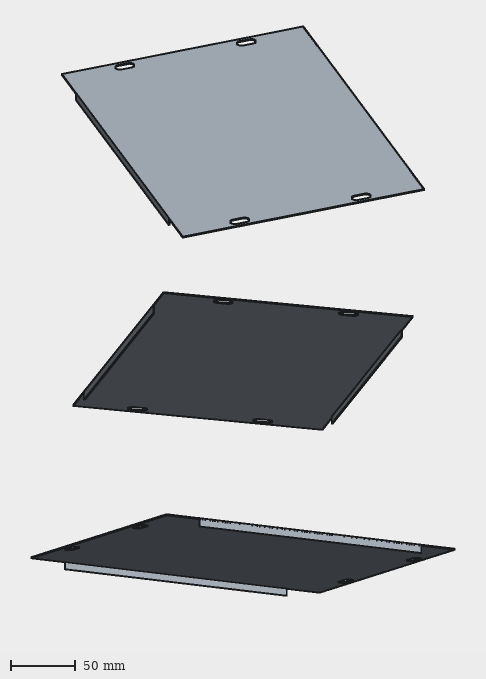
import cadquery as cq

plate_length = 260.0
plate_width = 199.0
thickness = 1.0

flange_length = 200.0
overall_height = 6.5

slot_length = 15.0
slot_width = 7.0
slot_spacing_x = 247.0
slot_spacing_y = 100.0


def make_plate():
    """Flat plate with its underside on Z = 0."""
    return cq.Workplane("XY").box(plate_length, plate_width, thickness, centered=(True, True, False))


def make_flange(side):
    """Flange flush with the plate edge on the given side (+1 or -1) in Y."""
    flange_center_y = side * (plate_width - thickness) / 2
    flange_bottom = thickness - overall_height
    return (
        cq.Workplane("XY")
        .workplane(offset=flange_bottom)
        .center(0, flange_center_y)
        .box(flange_length, thickness, overall_height, centered=(True, True, False))
    )


def make_slots():
    """Four through slots near the short edges."""
    return (
        cq.Workplane("XY")
        .rarray(slot_spacing_x, slot_spacing_y, 2, 2)
        .slot2D(slot_length, slot_width, angle=90)
        .extrude(thickness)
    )


result = make_plate()
for side in (-1, 1):
    result = result.union(make_flange(side))
result = result.cut(make_slots())